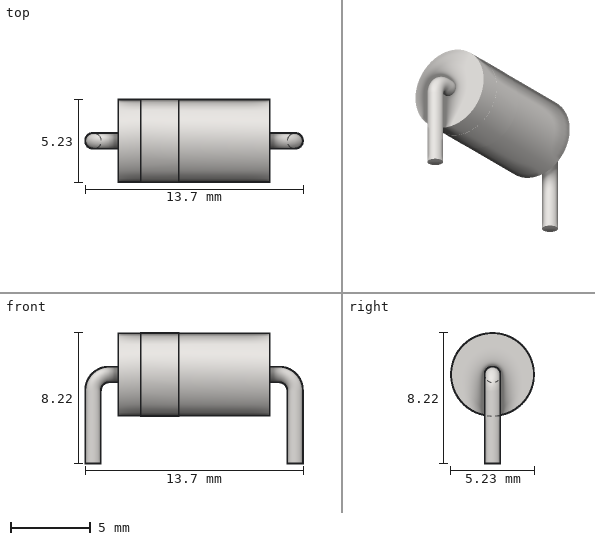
import cadquery as cq

body_diameter = 5.21
body_length = 9.53
band_diameter = 5.23
band_width = 2.38
band_offset = 1.43
lead_diameter = 1.0
lead_pitch = 12.7
bend_radius = 1.0
lead_depth = 3.0

axis_z = body_diameter / 2
body_start_x = (lead_pitch - body_length) / 2
band_start_x = body_start_x + band_offset
middle_x = lead_pitch / 2
bend_end_z = axis_z - bend_radius


def cylinder_along_x(start_x, length, diameter):
    """Cylinder on the body axis, running toward +X from start_x."""
    return (
        cq.Workplane("YZ", origin=(start_x, 0, axis_z))
        .circle(diameter / 2)
        .extrude(length)
    )


def bent_lead():
    """Round lead rising at X = 0, bending toward +X and ending at the body's end face."""
    path = (
        cq.Workplane("XZ")
        .moveTo(0, -lead_depth)
        .lineTo(0, bend_end_z)
        .radiusArc((bend_radius, axis_z), bend_radius)
        .lineTo(body_start_x, axis_z)
    )
    return (
        cq.Workplane("XY", origin=(0, 0, -lead_depth))
        .circle(lead_diameter / 2)
        .sweep(path)
    )


body = cylinder_along_x(body_start_x, body_length, body_diameter)
cathode_band = cylinder_along_x(band_start_x, band_width, band_diameter)
first_lead = bent_lead()
second_lead = first_lead.mirror("YZ", (middle_x, 0, 0))

result = body.union(cathode_band).union(first_lead).union(second_lead)